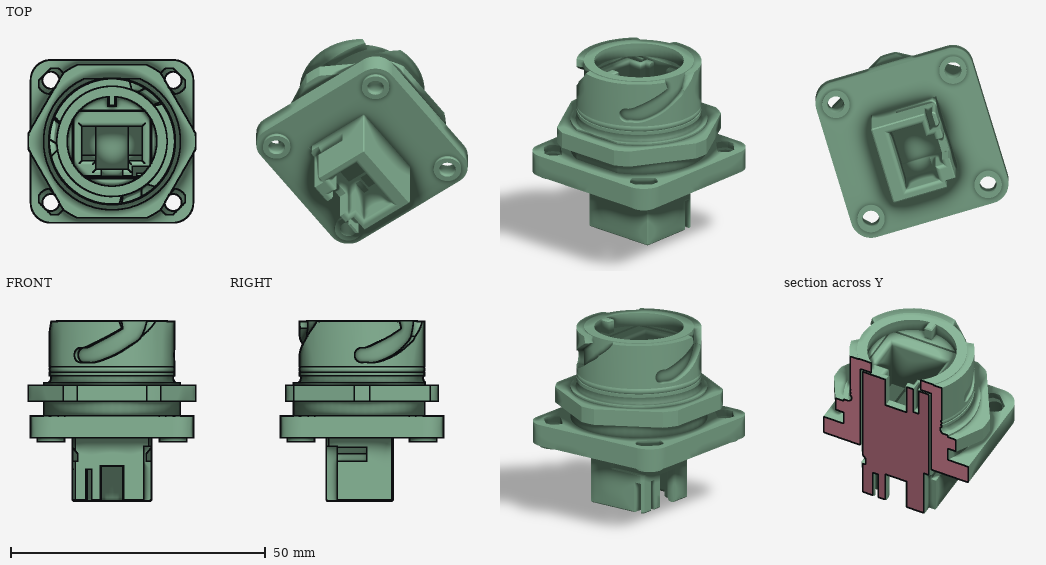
import cadquery as cq
import math

FLANGE_TOP = 4.3
HEX_BOTTOM = 7.16
HEX_TOP = 10.35
COLLAR_TOP = 10.82
GROOVE_TOP = 12.2
BEAD_BOTTOM = 12.87
BEAD_TOP = 14.0
SHELL_TOP = 22.85
RIM_TOP = 23.0
SEAT_TOP = 20.3

FLANGE_SIZE = 32.0
FLANGE_CORNER_RADIUS = 4.0
SCREW_OFFSET = 12.0
SCREW_HOLE_DIAMETER = 3.3
FOOT_DIAMETER = 5.4
FOOT_HEIGHT = 0.8
NUT_POCKET_DIAMETER = 5.5
NUT_POCKET_BEVEL = 1.0
NUT_POCKET_WIDTH = 3.34
NUT_POCKET_DEPTH = 1.3

HEX_ACROSS_FLATS = 30.0
HEX_CORNER_RADIUS = 16.49
COLLAR_RADIUS = 13.45
SHELL_RADIUS = 12.3
GROOVE_RADIUS = 12.1
GROOVE_WAIST_RADIUS = 12.05
GROOVE_FOOT_RADIUS = 12.45
INNER_TUBE_RADIUS = 10.83
BORE_RADIUS = 8.8
FLAT_Y = 12.33

KEY_WIDTH = 1.65
KEY_TIP_Y = 6.88
KEY_BEVEL = 0.25

BAYONET_COUNT = 3
BAYONET_END_ANGLE = -30.0
BAYONET_END_HEIGHT = 16.25
BAYONET_PIN_DIAMETER = 2.93
BAYONET_INSIDE = INNER_TUBE_RADIUS - 0.3
BAYONET_OUTSIDE = SHELL_RADIUS + 0.7
RAMP_ANGLES = [-30, -24, -18, -9, 0, 9, 18, 28.3]
RAMP_START_ANGLE = -17.0
LOWER_START_SLOPE = 0.05
LOWER_SLOPE_GAIN = 0.0014
UPPER_START_SLOPE = 0.09
UPPER_SLOPE_GAIN = 0.0005
UPPER_START_ANGLE = -26.0
FLANK_SLANT_RATE = 0.095
MOUTH_CORNERS = [
    (8.9, 11.3, 21.5),
    (6.2, 9.7, 23.2),
    (44.9, 39.6, 23.2),
    (28.3, 32.6, 19.95),
]
MOUTH_FACING_ANGLE = 25.0
MOUTH_NEAR = 9.5
MOUTH_FAR = 13.5

JACK_HALF_WIDTH = 7.78
JACK_FRONT_Y = -7.03
JACK_BACK_Y = 6.12
JACK_BOTTOM = -12.41
JACK_TOP = 20.05
JACK_EDGE = 0.25
JACK_FRONT_EDGE = 0.55
SEAT_FRONT_Y = -7.28

CAVITY_HALF_WIDTH = 5.96
CAVITY_BACK_Y = 3.0
CAVITY_FRONT_Y = -3.85
NOTCH_HALF_WIDTH = 3.15
NOTCH_FRONT_Y = -5.48
MOUTH_RADIUS = 0.72
CAVITY_DEPTH = 11.0
CHANNEL_EXTRA_DEPTH = 1.0
LEDGE_HEIGHT = 1.0
LEDGE_BACK_Y = -2.7
LATCH_HALF_WIDTH = 2.15
LATCH_DEPTH = 6.8
LATCH_EDGE = 0.15

CORNER_SLOT_INNER_X = 3.93
CORNER_SLOT_BACK_Y = -4.86
CORNER_POST_X = 4.84
CORNER_POST_EDGE = 0.29
CORNER_POST_Y = -6.3
CORNER_SLOT_DEPTH = 6.2

SIDE_GROOVE_DEPTH = 1.04
SIDE_GROOVE_TOP = -1.86
SIDE_GROOVE_RAMP_END = -3.12
SIDE_GROOVE_BOTTOM = -4.6
SIDE_GROOVE_BACK_Y = 0.98

RELIEF_X = 6.26
RELIEF_TOP = -1.67


def box(x_min, x_max, y_min, y_max, z_min, z_max):
    size = (x_max - x_min, y_max - y_min, z_max - z_min)
    return cq.Workplane("XY").box(*size, centered=False).translate((x_min, y_min, z_min))


def cylinder(radius, z_min, z_max):
    return cq.Workplane("XY").workplane(offset=z_min).circle(radius).extrude(z_max - z_min)


def polar_point(radius, angle, z):
    """Point at an angle counted from -Y towards +X."""
    turn = math.radians(angle)
    return cq.Vector(radius * math.sin(turn), -radius * math.cos(turn), z)


def flange():
    plate = cq.Workplane("XY").rect(FLANGE_SIZE, FLANGE_SIZE).extrude(FLANGE_TOP)
    plate = plate.edges("|Z").fillet(FLANGE_CORNER_RADIUS)
    screws = [(sx * SCREW_OFFSET, sy * SCREW_OFFSET) for sx in (-1, 1) for sy in (-1, 1)]
    feet = cq.Workplane("XY").pushPoints(screws).circle(FOOT_DIAMETER / 2).extrude(-FOOT_HEIGHT)
    plate = plate.union(feet)
    for x, y in screws:
        hole = cylinder(SCREW_HOLE_DIAMETER / 2, -FOOT_HEIGHT, FLANGE_TOP)
        plate = plate.cut(hole.translate((x, y, 0)))
        plate = plate.cut(nut_pocket(math.degrees(math.atan2(y, x))).translate((x, y, 0)))
    return plate


def nut_pocket(outward_angle):
    """Pocket round at the sides, flat across the flange diagonal, bevelled towards the flange corner."""
    flat = NUT_POCKET_WIDTH / 2
    radius = NUT_POCKET_DIAMETER / 2
    bevel_end = flat - NUT_POCKET_BEVEL
    outer_half = math.sqrt(radius**2 - bevel_end**2) - NUT_POCKET_BEVEL
    inner_half = math.sqrt(radius**2 - flat**2)
    outline = (
        cq.Workplane("XY")
        .workplane(offset=FLANGE_TOP)
        .moveTo(flat, -outer_half)
        .lineTo(flat, outer_half)
        .lineTo(bevel_end, outer_half + NUT_POCKET_BEVEL)
        .threePointArc((0, radius), (-flat, inner_half))
        .lineTo(-flat, -inner_half)
        .threePointArc((0, -radius), (bevel_end, -outer_half - NUT_POCKET_BEVEL))
        .close()
    )
    return outline.extrude(-NUT_POCKET_DEPTH).rotate((0, 0, 0), (0, 0, 1), outward_angle)


def collar():
    """Round collar with one flat, carrying the hexagonal flange."""
    neck = cylinder(COLLAR_RADIUS, FLANGE_TOP, COLLAR_TOP)
    neck = neck.cut(box(-COLLAR_RADIUS, COLLAR_RADIUS, FLAT_Y, COLLAR_RADIUS, FLANGE_TOP, COLLAR_TOP))
    hex_diameter = HEX_ACROSS_FLATS / math.cos(math.pi / 6)
    hexagon = cq.Workplane("XY").workplane(offset=HEX_BOTTOM).polygon(6, hex_diameter)
    hexagon = hexagon.extrude(HEX_TOP - HEX_BOTTOM)
    return neck.union(hexagon.intersect(cylinder(HEX_CORNER_RADIUS, HEX_BOTTOM, HEX_TOP)))


def shell():
    """Outer sleeve with a hollow groove above the collar and a rounded bead over it."""
    profile = (
        cq.Workplane("XZ")
        .moveTo(INNER_TUBE_RADIUS, HEX_TOP)
        .lineTo(GROOVE_FOOT_RADIUS, HEX_TOP)
        .lineTo(GROOVE_FOOT_RADIUS, COLLAR_TOP)
        .threePointArc((GROOVE_WAIST_RADIUS, (COLLAR_TOP + GROOVE_TOP) / 2), (GROOVE_RADIUS, GROOVE_TOP))
        .lineTo(SHELL_RADIUS, GROOVE_TOP)
        .lineTo(SHELL_RADIUS, BEAD_BOTTOM)
        .lineTo(GROOVE_RADIUS, BEAD_BOTTOM)
        .threePointArc((SHELL_RADIUS, (BEAD_BOTTOM + BEAD_TOP) / 2), (GROOVE_RADIUS, BEAD_TOP))
        .lineTo(SHELL_RADIUS, BEAD_TOP)
        .lineTo(SHELL_RADIUS, SHELL_TOP)
        .lineTo(INNER_TUBE_RADIUS, SHELL_TOP)
        .close()
    )
    return profile.revolve(360, (0, 0, 0), (0, 1, 0))


def lower_edge(angle):
    """Height of the lower edge of the slot ramp."""
    run = max(0.0, angle - RAMP_START_ANGLE)
    start = BAYONET_END_HEIGHT - BAYONET_PIN_DIAMETER / 2
    return start + LOWER_START_SLOPE * run + LOWER_SLOPE_GAIN * run**2


def upper_edge(angle):
    """Height of the upper edge of the slot ramp."""
    run = max(0.0, angle - UPPER_START_ANGLE)
    start = BAYONET_END_HEIGHT + BAYONET_PIN_DIAMETER / 2
    return start + UPPER_START_SLOPE * run + UPPER_SLOPE_GAIN * run**2


def flank_angle(radius, angle):
    """Angle of a slot flank at a radius: the flanks slant further from radial up the ramp."""
    lag = FLANK_SLANT_RATE * max(0.0, angle - RAMP_START_ANGLE)
    return angle + lag * (SHELL_RADIUS - radius) / (SHELL_RADIUS - INNER_TUBE_RADIUS)


def bayonet_ramp():
    """Rising groove, lofted through upright rectangles at a row of angles."""
    sections = []
    for angle in RAMP_ANGLES:
        inner_angle = flank_angle(BAYONET_INSIDE, angle)
        outer_angle = flank_angle(BAYONET_OUTSIDE, angle)
        corners = [
            polar_point(BAYONET_INSIDE, inner_angle, lower_edge(angle)),
            polar_point(BAYONET_OUTSIDE, outer_angle, lower_edge(angle)),
            polar_point(BAYONET_OUTSIDE, outer_angle, upper_edge(angle)),
            polar_point(BAYONET_INSIDE, inner_angle, upper_edge(angle)),
        ]
        sections.append(cq.Wire.makePolygon(corners, close=True))
    return cq.Workplane(cq.Solid.makeLoft(sections, False))


def mouth_outline(distance):
    """Mouth outline on the upright plane at a distance from the axis."""
    facing = polar_point(1, MOUTH_FACING_ANGLE, 0)
    corners = []
    for outer_angle, inner_angle, z in MOUTH_CORNERS:
        inner = polar_point(INNER_TUBE_RADIUS, inner_angle, z)
        flank = polar_point(SHELL_RADIUS, outer_angle, z) - inner
        share = (distance - inner.dot(facing)) / flank.dot(facing)
        corners.append(inner + flank * share)
    return cq.Wire.makePolygon(corners, close=True)


def bayonet_mouth():
    """Flared opening of the slot through the top of the sleeve."""
    outlines = [mouth_outline(MOUTH_NEAR), mouth_outline(MOUTH_FAR)]
    return cq.Workplane(cq.Solid.makeLoft(outlines, True))


def bayonet_end():
    """Round blind end of the slot, drilled towards the axis."""
    start = polar_point(BAYONET_INSIDE, BAYONET_END_ANGLE, BAYONET_END_HEIGHT)
    outward = polar_point(1, BAYONET_END_ANGLE, 0)
    length = BAYONET_OUTSIDE - BAYONET_INSIDE
    return cq.Workplane(cq.Solid.makeCylinder(BAYONET_PIN_DIAMETER / 2, length, start, outward))


def sleeve():
    body = shell()
    cutters = [bayonet_ramp(), bayonet_mouth(), bayonet_end()]
    for i in range(BAYONET_COUNT):
        for cutter in cutters:
            body = body.cut(cutter.rotate((0, 0, 0), (0, 0, 1), i * 360 / BAYONET_COUNT))
    return body


def key():
    half = KEY_WIDTH / 2
    root_y = (BORE_RADIUS + INNER_TUBE_RADIUS) / 2
    rib = box(-half, half, KEY_TIP_Y, root_y, SEAT_TOP, RIM_TOP)
    return rib.faces(">Z").edges("<X or >X or <Y").chamfer(KEY_BEVEL)


def housing():
    body = flange().union(collar()).union(cylinder(INNER_TUBE_RADIUS, 0, RIM_TOP)).union(sleeve())
    body = body.cut(cylinder(BORE_RADIUS, SEAT_TOP, RIM_TOP))
    body = body.union(key())
    seat = box(-JACK_HALF_WIDTH, JACK_HALF_WIDTH, SEAT_FRONT_Y, JACK_BACK_Y, 0, SEAT_TOP)
    return body.cut(seat)


def half_turn(cutter):
    """Copy for the other end of the jack, turned half round about the jack's Y direction."""
    middle = (JACK_TOP + JACK_BOTTOM) / 2
    return cutter.rotate((0, 0, middle), (0, 1, middle), 180)


def plug_cavity():
    floor = JACK_TOP - CAVITY_DEPTH
    main = box(-CAVITY_HALF_WIDTH, CAVITY_HALF_WIDTH, LEDGE_BACK_Y, CAVITY_BACK_Y, floor, JACK_TOP)
    ledge_floor = floor + LEDGE_HEIGHT
    ledge = box(
        -CAVITY_HALF_WIDTH, CAVITY_HALF_WIDTH, CAVITY_FRONT_Y, LEDGE_BACK_Y, ledge_floor, JACK_TOP
    )
    channel_floor = floor - CHANNEL_EXTRA_DEPTH
    channel = box(
        -NOTCH_HALF_WIDTH, NOTCH_HALF_WIDTH, NOTCH_FRONT_Y, CAVITY_BACK_Y, channel_floor, JACK_TOP
    )
    return main.union(ledge).union(channel)


def latch_window():
    """Window for the plug latch through the front wall, with a shallow stepped edge at the sides and sill."""
    top = JACK_TOP
    sill = JACK_TOP - LATCH_DEPTH
    half = LATCH_HALF_WIDTH
    window = box(-half, half, JACK_FRONT_Y, NOTCH_FRONT_Y, sill, top)
    lip = half + LATCH_EDGE
    return window.union(box(-lip, lip, JACK_FRONT_Y, JACK_FRONT_Y + LATCH_EDGE, sill - LATCH_EDGE, top))


def corner_slot():
    """L-shaped slot that leaves a free post at the front corner beside the cavity."""
    floor = JACK_TOP - CORNER_SLOT_DEPTH
    slot = box(
        CORNER_SLOT_INNER_X, JACK_HALF_WIDTH, JACK_FRONT_Y, CORNER_SLOT_BACK_Y, floor, JACK_TOP
    )
    post = box(CORNER_POST_X, JACK_HALF_WIDTH, JACK_FRONT_Y, CORNER_POST_Y, floor, JACK_TOP)
    post = post.edges("|Z and ((<X and <Y) or (>X and >Y))").chamfer(CORNER_POST_EDGE)
    return slot.cut(post)


def side_groove():
    """Latching groove with a sloping roof, on the +X side."""
    floor_x = JACK_HALF_WIDTH - SIDE_GROOVE_DEPTH
    points = [
        (JACK_HALF_WIDTH, SIDE_GROOVE_TOP),
        (floor_x, SIDE_GROOVE_RAMP_END),
        (floor_x, SIDE_GROOVE_BOTTOM),
        (JACK_HALF_WIDTH, SIDE_GROOVE_BOTTOM),
    ]
    groove = cq.Workplane("XZ").polyline(points).close().extrude(SIDE_GROOVE_BACK_Y - JACK_FRONT_Y)
    return groove.translate((0, SIDE_GROOVE_BACK_Y, 0))


def jack():
    body = box(-JACK_HALF_WIDTH, JACK_HALF_WIDTH, JACK_FRONT_Y, JACK_BACK_Y, JACK_BOTTOM, JACK_TOP)
    body = body.edges("|Z and <Y").chamfer(JACK_FRONT_EDGE)
    body = body.edges("|Z and >Y").chamfer(JACK_EDGE)
    body = body.faces("<Z or >Z").edges().chamfer(JACK_EDGE)
    cavity = plug_cavity()
    body = body.cut(cavity).cut(half_turn(cavity))
    mouth_edges = cq.selectors.BoxSelector(
        (-CAVITY_HALF_WIDTH - JACK_EDGE, NOTCH_FRONT_Y - JACK_EDGE, JACK_BOTTOM - JACK_EDGE),
        (CAVITY_HALF_WIDTH + JACK_EDGE, CAVITY_BACK_Y + JACK_EDGE, JACK_TOP + JACK_EDGE),
    )
    body = body.faces("<Z or >Z").edges(mouth_edges).fillet(MOUTH_RADIUS)
    for cutter in (latch_window(), corner_slot()):
        body = body.cut(cutter).cut(half_turn(cutter))
    groove = side_groove()
    body = body.cut(groove).cut(groove.mirror("YZ"))
    return body.cut(box(RELIEF_X, JACK_HALF_WIDTH, JACK_FRONT_Y, CORNER_SLOT_BACK_Y, JACK_BOTTOM, RELIEF_TOP))


result = cq.Compound.makeCompound([housing().val(), jack().val()])